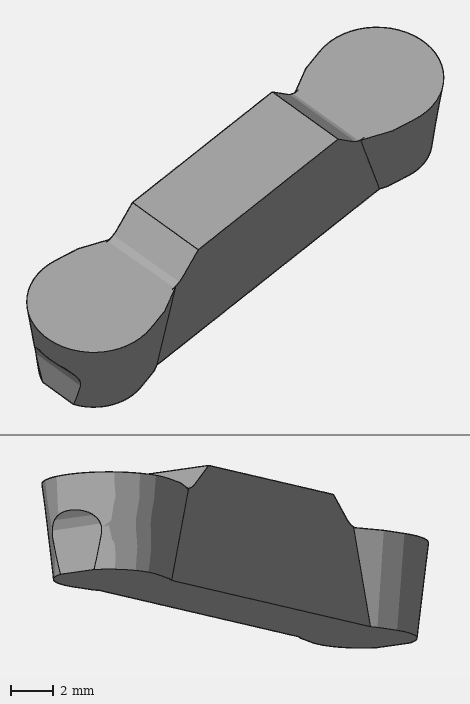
import cadquery as cq
import math

length = 25.8
height = 5.95

head_radius = 3.17
head_height = 4.6
head_taper = 6.8
head_center = length / 2 - head_radius

outer_flank_angle = math.radians(12)
inner_flank_angle = math.radians(25)
flank_corner = 7.82
neck_root_half_width = 1.3

body_width = 4.3
top_half_length = 4.8
ramp_angle = math.radians(45)
ramp_fillet = 1.0

relief_face = 12.15
relief_flat_height = 1.7
relief_radius = 1.57

tangent_half_width = head_radius * math.cos(outer_flank_angle)
tangent_y = head_center - head_radius * math.sin(outer_flank_angle)
corner_half_width = tangent_half_width - (tangent_y - flank_corner) * math.tan(outer_flank_angle)
root_y = flank_corner - (corner_half_width - neck_root_half_width) / math.tan(inner_flank_angle)

flank_top_y = flank_corner - (corner_half_width - body_width / 2) / math.tan(inner_flank_angle)
taper_offset = head_height * math.tan(math.radians(head_taper))
flank_base_y = flank_top_y + taper_offset / math.sin(inner_flank_angle)


def make_head():
    """Head and neck at the +Y end, narrowing toward the base."""
    return (
        cq.Workplane("XY", origin=(0, 0, head_height))
        .moveTo(neck_root_half_width, root_y)
        .lineTo(corner_half_width, flank_corner)
        .lineTo(tangent_half_width, tangent_y)
        .threePointArc((0, length / 2), (-tangent_half_width, tangent_y))
        .lineTo(-corner_half_width, flank_corner)
        .lineTo(-neck_root_half_width, root_y)
        .close()
        .extrude(-head_height, taper=head_taper)
    )


def make_relief():
    """Cutter with a flat face that curves outward at its upper end."""
    cutter_end = length / 2 + 0.25
    arc_run = cutter_end - relief_face
    arc_angle = math.acos(1 - arc_run / relief_radius)
    arc_top = relief_flat_height + relief_radius * math.sin(arc_angle)
    arc_middle = (
        relief_face + relief_radius * (1 - math.cos(arc_angle / 2)),
        relief_flat_height + relief_radius * math.sin(arc_angle / 2),
    )
    return (
        cq.Workplane("YZ")
        .moveTo(relief_face, 0)
        .lineTo(relief_face, relief_flat_height)
        .threePointArc(arc_middle, (cutter_end, arc_top))
        .lineTo(cutter_end, 0)
        .close()
        .extrude(head_radius, both=True)
    )


def make_body():
    """Central bar with filleted ramps down to the heads."""
    ramp_foot = top_half_length + (height - head_height) / math.tan(ramp_angle)
    fillet_start_y = ramp_foot + ramp_fillet * math.tan(ramp_angle / 2)

    def fillet_point(angle):
        return (
            fillet_start_y - ramp_fillet * math.sin(angle),
            head_height + ramp_fillet * (1 - math.cos(angle)),
        )

    half_body = (
        cq.Workplane("YZ")
        .lineTo(flank_base_y, 0)
        .lineTo(fillet_start_y, head_height)
        .threePointArc(fillet_point(ramp_angle / 2), fillet_point(ramp_angle))
        .lineTo(top_half_length, height)
        .lineTo(0, height)
        .close()
        .extrude(body_width / 2, both=True)
    )
    return half_body.union(half_body.mirror("XZ"))


head = make_head().cut(make_relief())
result = make_body().union(head).union(head.mirror("XZ")).clean()